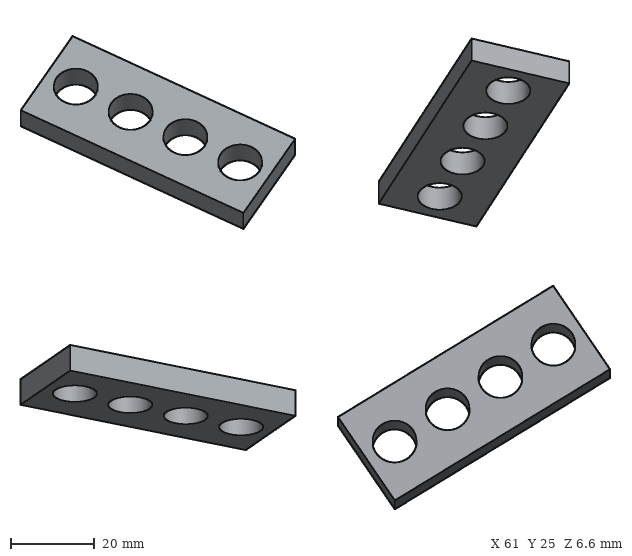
import cadquery as cq

length = 61.0
width = 25.0
thickness = 6.6

hole_count = 4
hole_diameter = 10.5
hole_pitch = 15.0

plate = cq.Workplane("XY").box(length, width, thickness)

result = (
    plate.faces(">Z")
    .workplane()
    .rarray(hole_pitch, 0.6, hole_count, 1)
    .hole(hole_diameter)
)